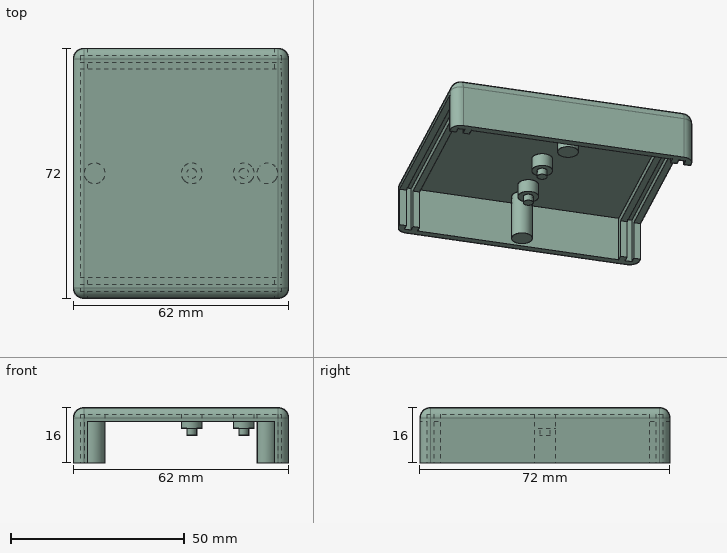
import cadquery as cq

LENGTH_X = 62.0
LENGTH_Y = 72.0
HEIGHT = 16.0
EDGE_RADIUS = 3.0

WALL = 2.0
GROOVE_WIDTH = 2.0
FRAME_DEPTH = 2 * WALL
FRAME_END = 6.0
GROOVE_START = WALL
GROOVE_END = GROOVE_START + GROOVE_WIDTH

POST_DIAMETER = 6.0
POST_INSET = 6.1
POST_Y = 0.0

PEG_X_POSITIONS = (3.1, 18.1)
PEG_Y = 0.0
PEG_SHOULDER_DIAMETER = 6.0
PEG_PIN_DIAMETER = 2.9
PEG_SHOULDER_DEPTH = 6.0
PEG_TIP_DEPTH = 8.0

CEILING_Z = HEIGHT - WALL


def cross_opening(depth, start_y, end_y):
    """Block that opens the cover between two Y values, leaving `depth` at the sides and top."""
    width = LENGTH_X - 2 * depth
    return (
        cq.Workplane("XY")
        .box(width, end_y - start_y, HEIGHT - depth, centered=(True, False, False))
        .translate((0, start_y, 0))
    )


def make_outer_block():
    """Block with round upright edges and a round top rim."""
    return (
        cq.Workplane("XY")
        .box(LENGTH_X, LENGTH_Y, HEIGHT, centered=(True, True, False))
        .edges("|Z or >Z")
        .fillet(EDGE_RADIUS)
    )


def make_posts():
    """One full-height screw post beside each side wall."""
    post_x = LENGTH_X / 2 - POST_INSET
    return (
        cq.Workplane("XY")
        .pushPoints([(-post_x, POST_Y), (post_x, POST_Y)])
        .circle(POST_DIAMETER / 2)
        .extrude(CEILING_Z)
    )


def make_housing():
    """Cover with a frame pair and a panel groove at each Y end, and two screw posts."""
    half_y = LENGTH_Y / 2
    housing = make_outer_block()

    housing = housing.cut(cross_opening(FRAME_DEPTH, -half_y, half_y))

    housing = housing.cut(cross_opening(WALL, FRAME_END - half_y, half_y - FRAME_END))

    housing = housing.cut(cross_opening(WALL, GROOVE_START - half_y, GROOVE_END - half_y))
    housing = housing.cut(cross_opening(WALL, half_y - GROOVE_END, half_y - GROOVE_START))

    return housing.union(make_posts())


def make_peg(x):
    """Stepped round peg hanging from the ceiling: a wide shoulder, then a thin pin."""
    shoulder_length = PEG_SHOULDER_DEPTH - WALL
    pin_length = PEG_TIP_DEPTH - PEG_SHOULDER_DEPTH
    return (
        cq.Workplane("XY", origin=(x, PEG_Y, CEILING_Z))
        .circle(PEG_SHOULDER_DIAMETER / 2)
        .extrude(-shoulder_length)
        .faces("<Z")
        .workplane()
        .circle(PEG_PIN_DIAMETER / 2)
        .extrude(pin_length)
    )


housing = make_housing()
pegs = [make_peg(x) for x in PEG_X_POSITIONS]

result = cq.Compound.makeCompound([housing.val(), *[peg.val() for peg in pegs]])